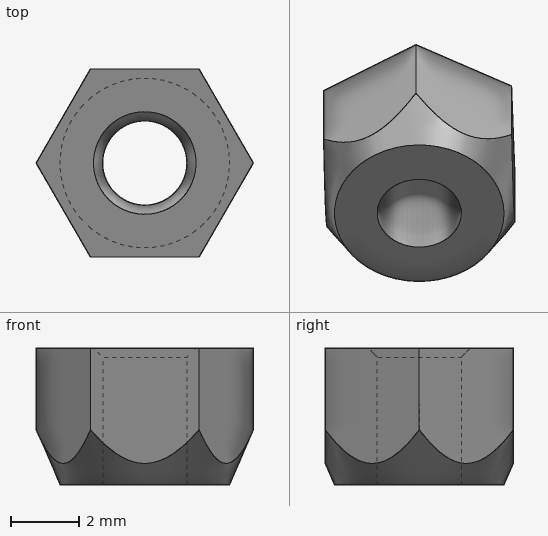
import cadquery as cq
import math

across_corners = 6.35
height = 4.0
seat_diameter = 4.95
cone_height = 1.61
bore_diameter = 2.46
mouth_diameter = 3.0
mouth_angle = 45.0

corner_radius = across_corners / 2
seat_radius = seat_diameter / 2
bore_radius = bore_diameter / 2
mouth_radius = mouth_diameter / 2
mouth_depth = (mouth_radius - bore_radius) / math.tan(math.radians(mouth_angle))


def revolve_profile(points):
    """Turn a closed (radius, height) outline about the Z axis."""
    return cq.Workplane("XZ").polyline(points).close().revolve(360, (0, 0), (0, 1))


def hexagon_body():
    """Upright hexagonal prism with two corners on the X axis."""
    return cq.Workplane("XY").polygon(6, across_corners).extrude(height)


def tapered_envelope():
    """Round envelope whose lower cone trims the hexagon corners."""
    return revolve_profile([
        (0, 0),
        (seat_radius, 0),
        (corner_radius, cone_height),
        (corner_radius, height),
        (0, height),
    ])


def bore():
    """Through bore with a chamfered mouth at the top."""
    return revolve_profile([
        (0, 0),
        (bore_radius, 0),
        (bore_radius, height - mouth_depth),
        (mouth_radius, height),
        (0, height),
    ])


result = hexagon_body().intersect(tapered_envelope()).cut(bore())